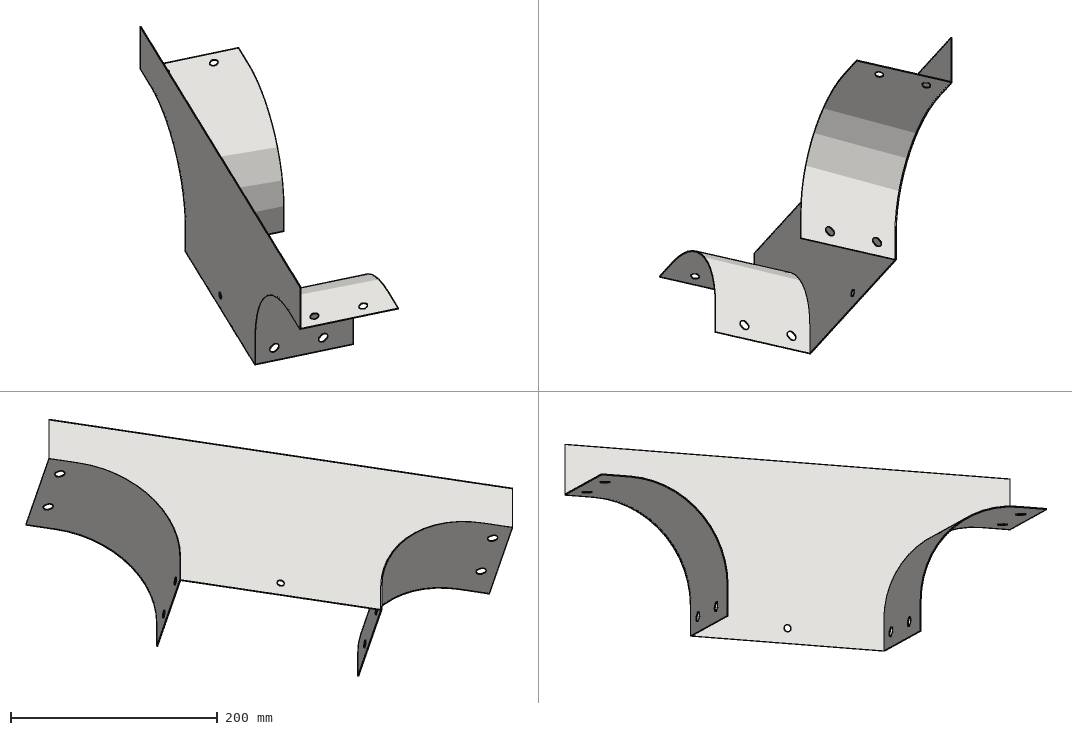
import cadquery as cq

length = 460.0
depth = 101.0
height = 180.0
sheet = 1.0
bend_radius = 100.0
tab = 30.0

web_hole_diameter = 7.0
slot_width = 7.5
slot_length = 10.0
slot_angle = 45
hole_edge_distance = 15.0
slot_front = 20.2
slot_pitch = 50.0

half_length = length / 2
stem_half_width = half_length - tab - bend_radius
shoulder_z = tab + bend_radius
bend_center_x = half_length - tab
bend_center_z = tab
cos45 = 0.5 ** 0.5


def arc_middle(radius):
    """Point halfway along the quarter bend on the +X side."""
    return (bend_center_x - radius * cos45, bend_center_z + radius * cos45)


def make_web():
    """Flat T-shaped plate with two concave quarter-round corners."""
    mid_x, mid_z = arc_middle(bend_radius)
    return (
        cq.Workplane("XZ")
        .moveTo(-stem_half_width, 0)
        .lineTo(stem_half_width, 0)
        .lineTo(stem_half_width, tab)
        .threePointArc((mid_x, mid_z), (bend_center_x, shoulder_z))
        .lineTo(half_length, shoulder_z)
        .lineTo(half_length, height)
        .lineTo(-half_length, height)
        .lineTo(-half_length, shoulder_z)
        .lineTo(-bend_center_x, shoulder_z)
        .threePointArc((-mid_x, mid_z), (-stem_half_width, tab))
        .close()
        .extrude(-sheet)
    )


def make_flange():
    """Curved strip following the +X side of the web, with a flat tab at each end."""
    outer_radius = bend_radius + sheet
    return (
        cq.Workplane("XZ")
        .moveTo(stem_half_width, 0)
        .lineTo(stem_half_width, tab)
        .threePointArc(arc_middle(bend_radius), (bend_center_x, shoulder_z))
        .lineTo(half_length, shoulder_z)
        .lineTo(half_length, shoulder_z + sheet)
        .lineTo(bend_center_x, shoulder_z + sheet)
        .threePointArc(arc_middle(outer_radius), (stem_half_width - sheet, tab))
        .lineTo(stem_half_width - sheet, 0)
        .close()
        .extrude(-depth)
    )


def make_upper_slots(y):
    """Cutters through the horizontal tabs; both slots slant the same way."""
    slot_x = half_length - hole_edge_distance
    return (
        cq.Workplane("XY", origin=(0, y, shoulder_z))
        .pushPoints([(-slot_x, 0), (slot_x, 0)])
        .slot2D(slot_length, slot_width, -slot_angle)
        .extrude(sheet)
    )


def make_lower_slots(y):
    """One cutter along X through both vertical tabs."""
    return (
        cq.Workplane("YZ", origin=(0, y, hole_edge_distance))
        .slot2D(slot_length, slot_width, slot_angle)
        .extrude(stem_half_width, both=True)
    )


web_hole = (
    cq.Workplane("XZ")
    .center(0, hole_edge_distance)
    .circle(web_hole_diameter / 2)
    .extrude(-sheet)
)

flange = make_flange()
result = make_web().cut(web_hole).union(flange).union(flange.mirror("YZ"))
for slot_y in (slot_front, slot_front + slot_pitch):
    result = result.cut(make_upper_slots(slot_y)).cut(make_lower_slots(slot_y))